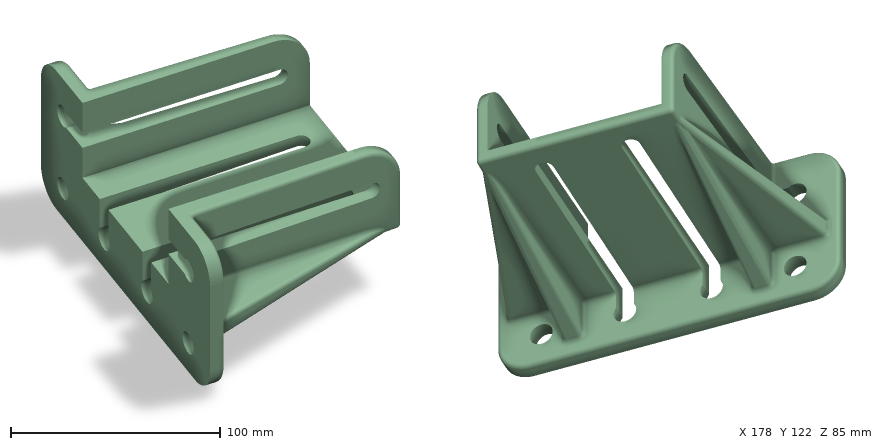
import cadquery as cq
import math

PLATE_WIDTH = 178.0
PLATE_HEIGHT = 85.0
PLATE_THICKNESS = 8.0
PLATE_CORNER_RADIUS = 16.0

DEPTH = 122.0
CHANNEL_HALF_WIDTH = 45.25
FLOOR_Z = 39.0
END_THICKNESS = 6.0
DRAFT = math.tan(math.radians(1.5))
WALL_CORNER_RADIUS = 20.0

RIB_END_THICKNESS = 4.0
RIB_TIP_Y = 114.0
SIDE_RIB_REACH_X = 83.4
LOWER_RIB_REACH_Z = 8.5
RIB_TIP_EMBED = 1.0

EDGE_RADIUS = 2.0
FILLET_RADIUS = 1.9
VALLEY_TAIL_RADIUS = 0.5
VALLEY_TAIL_START_Y = 93.0
VALLEY_TAIL_END_Y = 105.0
VALLEY_OVERLAP = 1.0

HOLE_DIAMETER = 11.8
OUTER_HOLE_X = 66.0
FLOOR_SLOT_X = 22.5
LOWER_HOLE_Z = 17.5
WALL_SLOT_Z = 62.0
SLOT_WIDTH = 9.2
SLOT_END_Y = 110.3

TAPER = DRAFT * DEPTH
WALL_END_X = CHANNEL_HALF_WIDTH + END_THICKNESS
WALL_FRONT_X = WALL_END_X + TAPER
FLOOR_END_Z = FLOOR_Z - END_THICKNESS
FLOOR_FRONT_Z = FLOOR_END_Z - TAPER
HALF_WIDTH = PLATE_WIDTH / 2


def wall_x(y):
    """Outer face of the wall at depth y."""
    return WALL_FRONT_X - DRAFT * y


def floor_z(y):
    """Underside of the floor at depth y."""
    return FLOOR_FRONT_Z + DRAFT * y


def plan_prism(points):
    """Prism over an (x, y) outline, as tall as the plate."""
    return cq.Workplane("XY").polyline(points).close().extrude(PLATE_HEIGHT)


def side_prism(points):
    """Prism over a (y, z) outline, from the middle plane out to the side of the plate."""
    return cq.Workplane("YZ").polyline(points).close().extrude(HALF_WIDTH)


def fillet_edges_near(body, radius, points):
    """Fillet the edges (with their tangent chains) whose centres lie nearest to the points."""
    picked = cq.Workplane(body.val())
    edges = [body.edges(cq.NearestToPointSelector(point)).val() for point in points]
    return picked.newObject(edges).fillet(radius)


def half_bracket():
    """Right half of the plate and tray with the channel open, before ribs and fillets."""
    plate = (
        cq.Workplane("XY")
        .box(HALF_WIDTH, PLATE_THICKNESS, PLATE_HEIGHT, centered=False)
        .edges("|Y and >X")
        .fillet(PLATE_CORNER_RADIUS)
    )
    plan = plan_prism([(0, 0), (WALL_FRONT_X, 0), (WALL_END_X, DEPTH), (0, DEPTH)])
    side = (
        side_prism([(0, FLOOR_FRONT_Z), (DEPTH, FLOOR_END_Z), (DEPTH, PLATE_HEIGHT), (0, PLATE_HEIGHT)])
        .edges("|X and >Y and >Z")
        .fillet(WALL_CORNER_RADIUS)
    )
    channel = (
        cq.Workplane("XY", origin=(0, 0, FLOOR_Z))
        .box(CHANNEL_HALF_WIDTH, DEPTH, PLATE_HEIGHT, centered=False)
    )
    return plate.union(plan.intersect(side)).cut(channel)


def side_rib():
    """Rib that carries the floor outward, its slanted edge rounded."""
    slope = (RIB_TIP_Y - PLATE_THICKNESS) / (SIDE_RIB_REACH_X - WALL_END_X)
    root_x = WALL_END_X - RIB_TIP_EMBED
    tip_y = RIB_TIP_Y + slope * RIB_TIP_EMBED
    top_end_z = FLOOR_END_Z + RIB_END_THICKNESS
    plan = plan_prism(
        [(root_x, 0), (SIDE_RIB_REACH_X, 0), (SIDE_RIB_REACH_X, PLATE_THICKNESS), (root_x, tip_y)]
    )
    side = side_prism(
        [(0, FLOOR_FRONT_Z), (DEPTH, FLOOR_END_Z), (DEPTH, top_end_z), (0, top_end_z + TAPER)]
    )
    middle_x = (root_x + SIDE_RIB_REACH_X) / 2
    middle_y = (tip_y + PLATE_THICKNESS) / 2
    bottom_z = floor_z(middle_y)
    top_z = top_end_z + TAPER - DRAFT * middle_y
    slanted_edges = [(middle_x, middle_y, bottom_z), (middle_x, middle_y, top_z)]
    return fillet_edges_near(plan.intersect(side), EDGE_RADIUS, slanted_edges)


def lower_rib():
    """Rib that carries the wall downward, its slanted edge rounded."""
    slope = (RIB_TIP_Y - PLATE_THICKNESS) / (FLOOR_END_Z - LOWER_RIB_REACH_Z)
    root_z = FLOOR_END_Z + RIB_TIP_EMBED
    tip_y = RIB_TIP_Y + slope * RIB_TIP_EMBED
    inner_end_x = WALL_END_X - RIB_END_THICKNESS
    side = side_prism(
        [(0, root_z), (0, LOWER_RIB_REACH_Z), (PLATE_THICKNESS, LOWER_RIB_REACH_Z), (tip_y, root_z)]
    )
    plan = plan_prism(
        [(inner_end_x - TAPER, 0), (WALL_FRONT_X, 0), (WALL_END_X, DEPTH), (inner_end_x, DEPTH)]
    )
    middle_z = (root_z + LOWER_RIB_REACH_Z) / 2
    middle_y = (tip_y + PLATE_THICKNESS) / 2
    outer_x = wall_x(middle_y)
    inner_x = inner_end_x - TAPER + DRAFT * middle_y
    slanted_edges = [(outer_x, middle_y, middle_z), (inner_x, middle_y, middle_z)]
    return fillet_edges_near(plan.intersect(side), EDGE_RADIUS, slanted_edges)


def round_bracket(body, root_points):
    """Round the outer edges, then fillet the roots of the rib and plate and the free end of the floor."""
    middle_y = DEPTH / 2
    rim_points = [
        (HALF_WIDTH, PLATE_THICKNESS, PLATE_HEIGHT / 2),
        (wall_x(middle_y), middle_y, PLATE_HEIGHT),
    ]
    floor_end_points = [
        (WALL_END_X / 2, DEPTH, FLOOR_END_Z),
        (WALL_END_X, RIB_TIP_Y, floor_z(RIB_TIP_Y)),
    ]
    rimmed = fillet_edges_near(body, EDGE_RADIUS, rim_points)
    return fillet_edges_near(rimmed, FILLET_RADIUS, root_points + floor_end_points)


def bracket_with_side_rib():
    body = half_bracket().union(side_rib())
    rib_top_z = FLOOR_END_Z + RIB_END_THICKNESS + TAPER
    root_points = [
        (wall_x(RIB_TIP_Y), RIB_TIP_Y, FLOOR_END_Z + RIB_END_THICKNESS / 2),
        (SIDE_RIB_REACH_X, PLATE_THICKNESS, (rib_top_z + FLOOR_FRONT_Z) / 2),
        (WALL_FRONT_X, PLATE_THICKNESS, (PLATE_HEIGHT + rib_top_z) / 2),
    ]
    return round_bracket(body, root_points)


def bracket_with_lower_rib():
    body = half_bracket().union(lower_rib())
    root_points = [
        (WALL_END_X - RIB_END_THICKNESS / 2, RIB_TIP_Y, floor_z(RIB_TIP_Y)),
        (CHANNEL_HALF_WIDTH / 2, PLATE_THICKNESS, FLOOR_FRONT_Z),
        (WALL_FRONT_X, PLATE_THICKNESS, PLATE_HEIGHT / 2),
    ]
    return round_bracket(body, root_points)


def valley_section(y, radius):
    """Fillet section in the valley between the two ribs at depth y."""
    x = wall_x(y)
    z = floor_z(y)
    to_arc = radius * (1 - math.sqrt(0.5))
    return (
        cq.Workplane("XZ", origin=(0, y, 0))
        .moveTo(x + radius, z)
        .lineTo(x + radius, z + VALLEY_OVERLAP)
        .lineTo(x - VALLEY_OVERLAP, z + VALLEY_OVERLAP)
        .lineTo(x - VALLEY_OVERLAP, z - radius)
        .lineTo(x, z - radius)
        .threePointArc((x + to_arc, z - to_arc), (x + radius, z))
        .close()
        .wires()
        .val()
    )


def valley_fillet():
    """Fillet along the valley between the ribs, narrowing to a thin tail near their tips."""
    sections = [
        valley_section(PLATE_THICKNESS / 2, FILLET_RADIUS),
        valley_section(VALLEY_TAIL_START_Y, FILLET_RADIUS),
        valley_section(VALLEY_TAIL_END_Y, VALLEY_TAIL_RADIUS),
    ]
    return cq.Workplane(cq.Solid.makeLoft(sections, True))


def slot_outline():
    """Slot outline along y with a round far end, open past the front face, centred on x = 0."""
    start_y = -SLOT_WIDTH
    straight_end_y = SLOT_END_Y - SLOT_WIDTH / 2
    return (
        cq.Workplane("XY")
        .moveTo(-SLOT_WIDTH / 2, start_y)
        .lineTo(SLOT_WIDTH / 2, start_y)
        .lineTo(SLOT_WIDTH / 2, straight_end_y)
        .threePointArc((0, SLOT_END_Y), (-SLOT_WIDTH / 2, straight_end_y))
        .close()
    )


def round_hole(x, z):
    """Cutter for a hole through the plate."""
    return (
        cq.Workplane("XZ", origin=(x, 0, z))
        .circle(HOLE_DIAMETER / 2)
        .extrude(-PLATE_THICKNESS)
    )


def floor_slot():
    """Slot through the floor and down the plate to the lower hole."""
    cutter = slot_outline().extrude(FLOOR_Z - LOWER_HOLE_Z)
    return cutter.translate((FLOOR_SLOT_X, 0, LOWER_HOLE_Z))


def wall_slot():
    """Slot through the wall and across the plate to the upper hole."""
    cutter = slot_outline().extrude(OUTER_HOLE_X - CHANNEL_HALF_WIDTH)
    return cutter.rotate((0, 0, 0), (0, 1, 0), 90).translate((CHANNEL_HALF_WIDTH, 0, WALL_SLOT_Z))


half = bracket_with_side_rib().union(bracket_with_lower_rib()).union(valley_fillet())
half = half.cut(floor_slot()).cut(wall_slot())
for hole_x, hole_z in [
    (FLOOR_SLOT_X, LOWER_HOLE_Z),
    (OUTER_HOLE_X, LOWER_HOLE_Z),
    (OUTER_HOLE_X, WALL_SLOT_Z),
]:
    half = half.cut(round_hole(hole_x, hole_z))

result = half.union(half.mirror("YZ"))